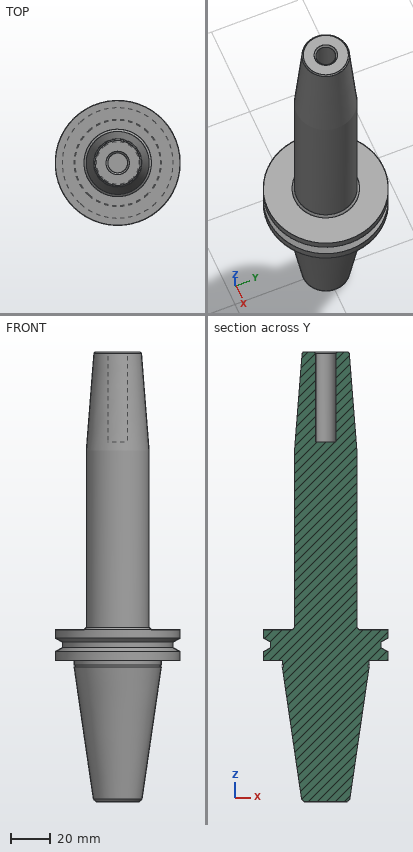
import cadquery as cq

total_height = 228.5

gauge_height = 68.5
gauge_radius = 22.2
taper_slope = 7 / 48
taper_end_chamfer = 1.4
relief_height = 1.0
relief_depth = 0.5

flange_radius = 31.7
flange_bottom = 71.7
flange_top = 87.5
groove_radius = 28.0
groove_center = 79.7
groove_mouth_width = 6.9
groove_floor_width = 2.7

shank_radius = 16.0
shank_base_chamfer = 1.1
nose_bottom = 178.2
nose_tip_radius = 12.0
nose_tip_chamfer = 0.7

bore_radius = 5.0
bore_depth = 45.7
bore_chamfer = 1.0


def taper_radius(height):
    return gauge_radius - (gauge_height - height) * taper_slope


def make_body():
    """Revolve the half outline of the whole holder about the Z axis."""
    relief_radius = gauge_radius - relief_depth
    relief_top = gauge_height + relief_height
    outline = [
        (0, 0),
        (taper_radius(0) - taper_end_chamfer, 0),
        (taper_radius(taper_end_chamfer), taper_end_chamfer),
        (gauge_radius, gauge_height),
        (relief_radius, gauge_height),
        (relief_radius, relief_top),
        (gauge_radius, relief_top),
        (gauge_radius, flange_bottom),
        (flange_radius, flange_bottom),
        (flange_radius, groove_center - groove_mouth_width / 2),
        (groove_radius, groove_center - groove_floor_width / 2),
        (groove_radius, groove_center + groove_floor_width / 2),
        (flange_radius, groove_center + groove_mouth_width / 2),
        (flange_radius, flange_top),
        (shank_radius + shank_base_chamfer, flange_top),
        (shank_radius, flange_top + shank_base_chamfer),
        (shank_radius, nose_bottom),
        (nose_tip_radius, total_height - nose_tip_chamfer),
        (nose_tip_radius - nose_tip_chamfer, total_height),
        (0, total_height),
    ]
    return cq.Workplane("XZ").polyline(outline).close().revolve(360, (0, 0), (0, 1))


def make_bore():
    """Flat-bottomed bore with a chamfered mouth."""
    bore_bottom = total_height - bore_depth
    outline = [
        (0, bore_bottom),
        (bore_radius, bore_bottom),
        (bore_radius, total_height - bore_chamfer),
        (bore_radius + bore_chamfer, total_height),
        (0, total_height),
    ]
    return cq.Workplane("XZ").polyline(outline).close().revolve(360, (0, 0), (0, 1))


result = make_body().cut(make_bore())